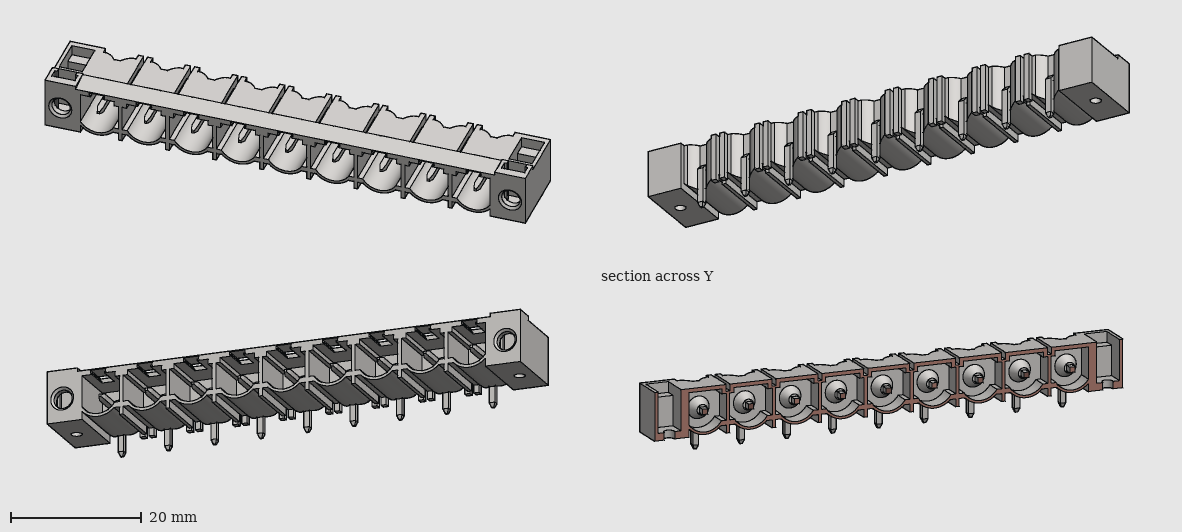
import cadquery as cq
import math

length = 77.75
depth = 11.75
rear_height = 7.8
front_height = 8.5

pin_count = 9
pitch = 7.6
pin_axis_z = 3.8
first_pin_x = -pitch * (pin_count - 1) / 2
pin_xs = [first_pin_x + i * pitch for i in range(pin_count)]
joint_xs = [x + pitch / 2 for x in pin_xs[:-1]]

cell_depth = 10.7
cell_bottom_z = 1.25
shell_radius = 3.65

cavity_half_width = 2.8
end_half_width = 2.65
cavity_top_z = 7.1
cavity_radius = 3.2
cavity_depth = 8.55
ear_half_width = 3.5
ear_bottom_z = 2.1
ear_top_z = 6.3
boss_base_radius = 1.8
boss_tip_radius = 0.85
boss_length = 1.55

wall = pitch - 2 * ear_half_width
keel_depth = 9.8
slot_floor_z = 6.7

band_half_length = 33.9
band_front_z = 7.9
band_crest_y = 3.0
band_back_y = 3.3

groove_depth = 4.2
groove_head_half_width = 1.25
groove_neck_half_width = 1.0
groove_step_z = 7.3

flange_width = length / 2 - pin_xs[-1] - end_half_width
flange_span = (length / 2 - flange_width, length / 2)
flange_step_y = 3.5
screw_inset = 2.5
flange_x = length / 2 - screw_inset
pocket_width = 3.7
pocket_floor_z = 1.25
nut_pocket_y = (1.4, 4.4)
rib_y = (2.8, flange_step_y)
rib_width = 0.4
rear_pocket_y = (4.9, 10.7)
ledge_y = 8.9
ledge_z = 6.1
screw_radius = 1.5
screw_chamfer = 0.4
board_hole_y = 6.1
board_hole_radius = 0.85

pin_size = 0.9
pin_tip_y = 0.8
pin_back_y = 10.4
pin_bottom_z = -3.1
contact_tip_length = 1.0
leg_tip_length = 0.7
tip_size = 0.4

relief_floor_y = pin_back_y - pin_size
relief_half_width = 0.55
relief_mouth_half_width = 2.0
relief_bulge = 0.15


def block(x_range, y_range, z_range):
    """Box between two limits on each axis."""
    size = [high - low for low, high in (x_range, y_range, z_range)]
    corner = (x_range[0], y_range[0], z_range[0])
    return cq.Workplane("XY").box(*size, centered=False).translate(corner)


def centred_block(x, width, y_range, z_range):
    """Box centred on x."""
    return block((x - width / 2, x + width / 2), y_range, z_range)


def mating_face():
    """Workplane in X and Z at Y = 0; negative extrusion runs into the part, towards +Y."""
    return cq.Workplane("XZ")


def cell_shell(x):
    """Outside of one cell: a box with a round belly."""
    box = centred_block(x, pitch, (0, cell_depth), (cell_bottom_z, rear_height))
    belly = mating_face().center(x, pin_axis_z).circle(shell_radius).extrude(-cell_depth)
    return box.union(belly)


def sloped_band():
    """Raised strip that slopes up to a narrow flat crest and drops to the cell tops."""
    profile = [
        (0, cavity_top_z),
        (0, band_front_z),
        (band_crest_y, front_height),
        (band_back_y, front_height),
        (band_back_y, cavity_top_z),
    ]
    return cq.Workplane("YZ").polyline(profile).close().extrude(band_half_length, both=True)


def cell_cavity(x):
    """Plug opening with a round bottom, and a side ear towards each neighbouring cell."""
    is_first = x == pin_xs[0]
    is_last = x == pin_xs[-1]
    opening_x = (
        x - (end_half_width if is_first else cavity_half_width),
        x + (end_half_width if is_last else cavity_half_width),
    )
    ears_x = (
        x - (end_half_width if is_first else ear_half_width),
        x + (end_half_width if is_last else ear_half_width),
    )
    round_bottom = mating_face().center(x, pin_axis_z).circle(cavity_radius).extrude(-cavity_depth)
    sides = block(opening_x, (0, cavity_depth), (0, cavity_top_z))
    square_top = block(opening_x, (0, cavity_depth), (pin_axis_z, cavity_top_z))
    ears = block(ears_x, (0, cavity_depth), (ear_bottom_z, ear_top_z))
    return round_bottom.intersect(sides).union(square_top).union(ears)


def pin_boss(x):
    """Cone on the back wall of the cavity, around the pin."""
    cone = cq.Solid.makeCone(
        boss_base_radius, boss_tip_radius, boss_length,
        pnt=cq.Vector(x, cavity_depth, pin_axis_z), dir=cq.Vector(0, -1, 0),
    )
    return cq.Workplane(cone)


def coding_groove(x):
    """T-shaped groove in the ceiling that breaks out behind the sloped band."""
    neck = centred_block(x, 2 * groove_neck_half_width, (0, groove_depth), (cavity_top_z, groove_step_z))
    head = centred_block(x, 2 * groove_head_half_width, (0, groove_depth), (groove_step_z, rear_height))
    return neck.union(head)


def rear_relief(x):
    """Trumpet-shaped notch in the rear wall, open towards +Y, for the pin's leg."""
    run = relief_mouth_half_width - relief_half_width
    rise = cell_depth - relief_floor_y
    chord = math.hypot(run, rise)
    bend = (relief_mouth_half_width + relief_half_width) / 2 - relief_bulge * rise / chord
    bend_y = (cell_depth + relief_floor_y) / 2 + relief_bulge * run / chord
    return (
        cq.Workplane("XY")
        .moveTo(x - relief_mouth_half_width, cell_depth)
        .threePointArc((x - bend, bend_y), (x - relief_half_width, relief_floor_y))
        .lineTo(x + relief_half_width, relief_floor_y)
        .threePointArc((x + bend, bend_y), (x + relief_mouth_half_width, cell_depth))
        .close()
        .extrude(rear_height)
    )


def joint_supports(x):
    """Keel under the wall between two cells, and the rear foot behind it."""
    keel = centred_block(x, wall, (0, keel_depth), (0, cell_bottom_z))
    foot_width = pitch - 2 * end_half_width
    foot = centred_block(x, foot_width, (cell_depth, depth), (0, rear_height))
    return keel.union(foot)


def joint_slot(x):
    """Slot between two cells: shallow on top, right through at the rear."""
    top = centred_block(x, wall, (band_back_y, depth), (slot_floor_z, rear_height))
    rear = centred_block(x, wall, (keel_depth, depth), (0, rear_height))
    return top.union(rear)


def right_flange():
    """End flange with a screw hole, a nut pocket and a stepped rear pocket."""
    body = block(flange_span, (0, depth), (0, rear_height))
    raised = block((band_half_length, length / 2), (0, flange_step_y), (0, front_height))
    nut_pocket = centred_block(flange_x, pocket_width, nut_pocket_y, (pocket_floor_z, front_height))
    slot_width = pocket_width - 2 * rib_width
    ribs = centred_block(flange_x, pocket_width, rib_y, (pocket_floor_z, front_height))
    ribs = ribs.cut(centred_block(flange_x, slot_width, rib_y, (pocket_floor_z, front_height)))
    rear_low = (rear_pocket_y[0], ledge_y)
    rear_pocket = centred_block(flange_x, pocket_width, rear_low, (pocket_floor_z, rear_height))
    ledge_pocket = centred_block(flange_x, pocket_width, rear_pocket_y, (ledge_z, rear_height))
    screw_centre = mating_face().center(flange_x, pin_axis_z)
    screw_hole = screw_centre.circle(screw_radius).extrude(-nut_pocket_y[0])
    screw_mouth = cq.Workplane(
        cq.Solid.makeCone(
            screw_radius + screw_chamfer, screw_radius, screw_chamfer,
            pnt=cq.Vector(flange_x, 0, pin_axis_z), dir=cq.Vector(0, 1, 0),
        )
    )
    board_hole = cq.Workplane("XY").center(flange_x, board_hole_y).circle(board_hole_radius)
    return (
        body.union(raised)
        .cut(nut_pocket.cut(ribs))
        .cut(rear_pocket)
        .cut(ledge_pocket)
        .cut(screw_hole)
        .cut(screw_mouth)
        .cut(board_hole.extrude(rear_height))
    )


def square_taper(plane, taper_length):
    """Tapered end of a pin, starting at full size on the given plane."""
    return (
        cq.Workplane(plane)
        .rect(pin_size, pin_size)
        .workplane(offset=taper_length)
        .rect(tip_size, tip_size)
        .loft(ruled=True)
    )


def make_pin(x):
    """Square pin: a contact along Y, a mitred elbow and a leg down into the board."""
    top_z = pin_axis_z + pin_size / 2
    under_z = pin_axis_z - pin_size / 2
    leg_y = pin_back_y - pin_size / 2
    contact_y = pin_tip_y + contact_tip_length
    leg_z = pin_bottom_z + leg_tip_length
    profile = [
        (contact_y, top_z),
        (relief_floor_y, top_z),
        (pin_back_y, under_z),
        (pin_back_y, leg_z),
        (relief_floor_y, leg_z),
        (relief_floor_y, under_z),
        (contact_y, under_z),
    ]
    bent_bar = cq.Workplane("YZ").polyline(profile).close().extrude(pin_size / 2, both=True)
    contact_plane = cq.Plane((0, contact_y, pin_axis_z), (1, 0, 0), (0, -1, 0))
    contact_tip = square_taper(contact_plane, contact_tip_length)
    leg_plane = cq.Plane((0, leg_y, leg_z), (1, 0, 0), (0, 0, -1))
    leg_tip = square_taper(leg_plane, leg_tip_length)
    return bent_bar.union(contact_tip).union(leg_tip).translate((x, 0, 0))


def make_housing(pins):
    """Row of cells between two flanges, with a matching hole for every pin."""
    cells = sloped_band()
    for x in pin_xs:
        cells = cells.union(cell_shell(x))
    for x in joint_xs:
        cells = cells.union(joint_supports(x)).cut(joint_slot(x))
    for x in pin_xs:
        cells = cells.cut(cell_cavity(x)).cut(coding_groove(x)).cut(rear_relief(x))
        cells = cells.union(pin_boss(x))

    flange_space = block(flange_span, (0, depth), (0, rear_height))
    cells = cells.cut(flange_space).cut(flange_space.mirror("YZ"))
    flange = right_flange()
    body = cells.union(flange).union(flange.mirror("YZ"))
    for pin in pins:
        body = body.cut(pin)
    return body


pins = [make_pin(x) for x in pin_xs]
housing = make_housing(pins)

result = cq.Compound.makeCompound([housing.val(), *[pin.val() for pin in pins]])